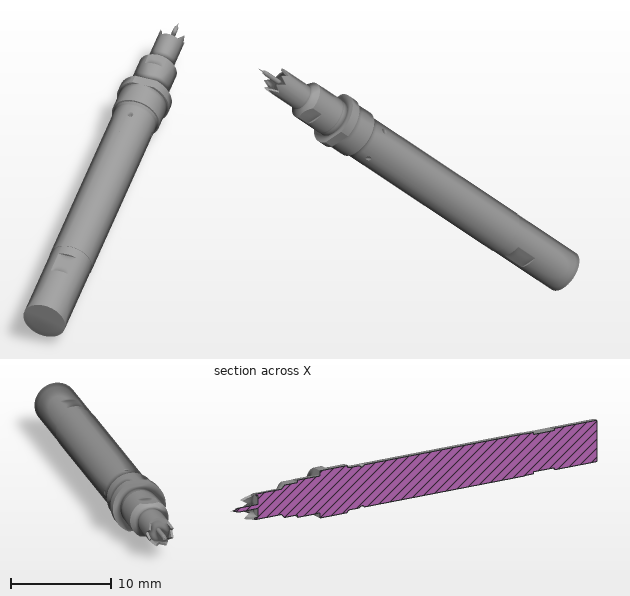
import cadquery as cq
import math

OVERALL_LENGTH = 43.0
REAR_END = 8.45
SLEEVE_END = 28.95
RING_START = 29.2
RING_END = 31.5
COLLAR_END = 32.45
NECK_END = 33.0
NECK_BEVEL = 0.15
CONE_START = 36.35
BORE_FLOOR = 39.75
TOOTH_GAP_FLOOR = 39.95
TOOTH_ROOT = 40.1
TOOTH_TIP = 41.02
PIN_EDGE = 41.92
PIN_END = 42.25

REAR_DIAMETER = 4.4
SLEEVE_DIAMETER = 4.47
RING_NECK_DIAMETER = 4.65
RING_DIAMETER = 5.0
COLLAR_DIAMETER = 5.45
NECK_DIAMETER = 3.9
STAGE_DIAMETER = 3.95
NOSE_DIAMETER = 2.7
BORE_DIAMETER = 2.25
PIN_DIAMETER = 0.47
PIN_END_DIAMETER = 0.4
NEEDLE_DIAMETER = 0.2

CONE_END = CONE_START + (STAGE_DIAMETER - NOSE_DIAMETER) / 2

REAR_FLAT_START = 5.0
REAR_FLAT_LENGTH = 2.4
REAR_FLAT_HEIGHT = 1.98
STAGE_FLAT_START = 35.1
STAGE_FLAT_HEIGHT = 1.7

GROOVE_COUNT = 4

DIMPLE_STATION = 27.5
DIMPLE_RADIUS = 0.3
DIMPLE_FLOOR_RADIUS = 0.15
DIMPLE_DEPTH = 0.17
DIMPLE_COUNT = 4


def turned_body():
    """Revolve the stepped body, from the rear end to the tooth tips."""
    profile = [
        (0, 0),
        (REAR_DIAMETER / 2, 0),
        (REAR_DIAMETER / 2, REAR_END),
        (SLEEVE_DIAMETER / 2, REAR_END),
        (SLEEVE_DIAMETER / 2, SLEEVE_END),
        (RING_NECK_DIAMETER / 2, RING_START),
        (RING_DIAMETER / 2, RING_START),
        (RING_DIAMETER / 2, RING_END),
        (COLLAR_DIAMETER / 2, RING_END),
        (COLLAR_DIAMETER / 2, COLLAR_END),
        (NECK_DIAMETER / 2, COLLAR_END),
        (NECK_DIAMETER / 2, NECK_END),
        (STAGE_DIAMETER / 2, NECK_END + NECK_BEVEL),
        (STAGE_DIAMETER / 2, CONE_START),
        (NOSE_DIAMETER / 2, CONE_END),
        (NOSE_DIAMETER / 2, TOOTH_TIP),
        (BORE_DIAMETER / 2, TOOTH_TIP),
        (BORE_DIAMETER / 2, BORE_FLOOR),
        (0, BORE_FLOOR),
    ]
    return cq.Workplane("XY").polyline(profile).close().revolve(360, (0, 0, 0), (0, 1, 0))


def center_pin():
    """Revolve the spring pin with its bevelled end and fine needle point."""
    profile = [
        (0, CONE_END),
        (PIN_DIAMETER / 2, CONE_END),
        (PIN_DIAMETER / 2, PIN_EDGE),
        (PIN_END_DIAMETER / 2, PIN_END),
        (NEEDLE_DIAMETER / 2, PIN_END),
        (0, OVERALL_LENGTH),
    ]
    return cq.Workplane("XY").polyline(profile).close().revolve(360, (0, 0, 0), (0, 1, 0))


def slab_above(height, start, end):
    """Material above a given Z height between two Y stations."""
    width = COLLAR_DIAMETER
    slab = cq.Workplane("XY").box(width, end - start, width, centered=(True, False, False))
    return slab.translate((0, start, height))


def cut_flat_pair(body, height, start, end):
    """Mill matching flats on the +Z and -Z sides."""
    upper = slab_above(height, start, end)
    return body.cut(upper).cut(upper.mirror("XY"))


def crown_groove(angle):
    """V groove straight across the crown, turned about Y."""
    half_width = NOSE_DIAMETER / 2 * math.sin(math.pi / (2 * GROOVE_COUNT))
    section = [(-half_width, TOOTH_TIP), (half_width, TOOTH_TIP), (0, TOOTH_ROOT)]
    groove = cq.Workplane("XY").polyline(section).close().extrude(NOSE_DIAMETER / 2, both=True)
    return groove.rotate((0, 0, 0), (0, 1, 0), angle)


def missing_teeth():
    """Quarter wedge about +Z that removes the two upper teeth just below the tooth roots."""
    reach = NOSE_DIAMETER
    wedge = cq.Workplane("XZ").polyline([(0, 0), (reach, reach), (-reach, reach)]).close()
    return wedge.extrude(TOOTH_GAP_FLOOR - TOOTH_TIP).translate((0, TOOTH_GAP_FLOOR, 0))


def dimple(angle):
    """Tapered dimple in the sleeve surface, turned about Y."""
    floor = SLEEVE_DIAMETER / 2 - DIMPLE_DEPTH
    center = cq.Vector(0, DIMPLE_STATION, floor)
    cone = cq.Solid.makeCone(DIMPLE_FLOOR_RADIUS, DIMPLE_RADIUS, DIMPLE_DEPTH, center, cq.Vector(0, 0, 1))
    return cq.Workplane(cone).rotate((0, 0, 0), (0, 1, 0), angle)


result = turned_body()

result = cut_flat_pair(result, REAR_FLAT_HEIGHT, REAR_FLAT_START, REAR_FLAT_START + REAR_FLAT_LENGTH)
result = cut_flat_pair(result, RING_DIAMETER / 2, RING_END, COLLAR_END)
result = cut_flat_pair(result, STAGE_FLAT_HEIGHT, STAGE_FLAT_START, CONE_END)

for index in range(GROOVE_COUNT):
    result = result.cut(crown_groove(index * 180 / GROOVE_COUNT))

result = result.cut(missing_teeth())

for index in range(DIMPLE_COUNT):
    result = result.cut(dimple(index * 360 / DIMPLE_COUNT))
result = result.union(center_pin())